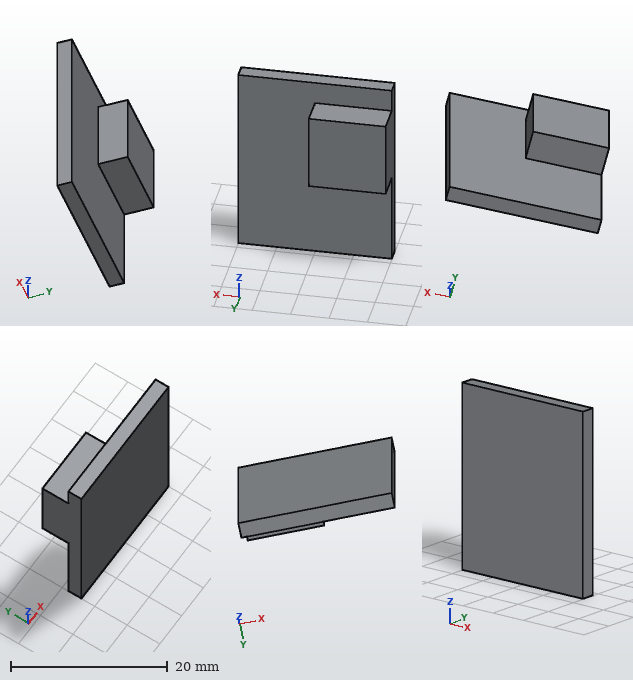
import cadquery as cq

plate_width = 20.0
plate_thickness = 2.0
plate_height = 25.0

block_side = 10.0
block_depth = 4.0
block_top_gap = 3.0

block_bottom = plate_height - block_top_gap - block_side

plate = cq.Workplane("XY").box(plate_width, plate_thickness, plate_height, centered=False)

block = (
    cq.Workplane("XY")
    .box(block_side, block_depth, block_side, centered=False)
    .translate((0, plate_thickness, block_bottom))
)

result = plate.union(block)